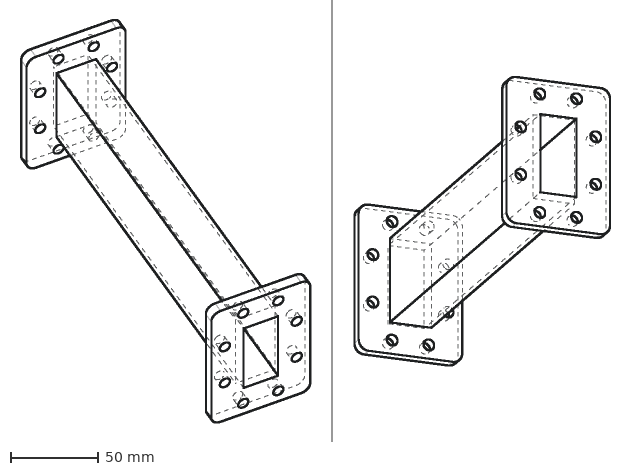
import cadquery as cq

length = 240.0
flange_width = 63.5
flange_height = 88.8
flange_thickness = 7.0
corner_radius = 6.0

bore_width = 22.0
bore_height = 47.5
wall = 1.7
tube_width = bore_width + 2 * wall
tube_height = bore_height + 2 * wall

hole_diameter = 6.5
end_hole_y = 11.3
end_hole_z = 36.0
side_hole_y = 23.0
side_hole_z = 14.5


def bar(width, height, bar_length):
    """Rectangular bar along X, centred on the origin."""
    return cq.Workplane("XY").box(bar_length, width, height)


def make_flange(x_centre):
    """Round-cornered plate with two holes near each of its four edges."""
    hole_points = [
        (y_sign * y, z_sign * z)
        for y, z in ((end_hole_y, end_hole_z), (side_hole_y, side_hole_z))
        for y_sign in (-1, 1)
        for z_sign in (-1, 1)
    ]
    plate = bar(flange_width, flange_height, flange_thickness).edges("|X").fillet(corner_radius)
    plate = plate.faces(">X").workplane(origin=(0, 0, 0)).pushPoints(hole_points).hole(hole_diameter)
    return plate.translate((x_centre, 0, 0))


flange_offset = (length - flange_thickness) / 2

result = bar(tube_width, tube_height, length)
for side in (-1, 1):
    result = result.union(make_flange(side * flange_offset))
result = result.cut(bar(bore_width, bore_height, length))